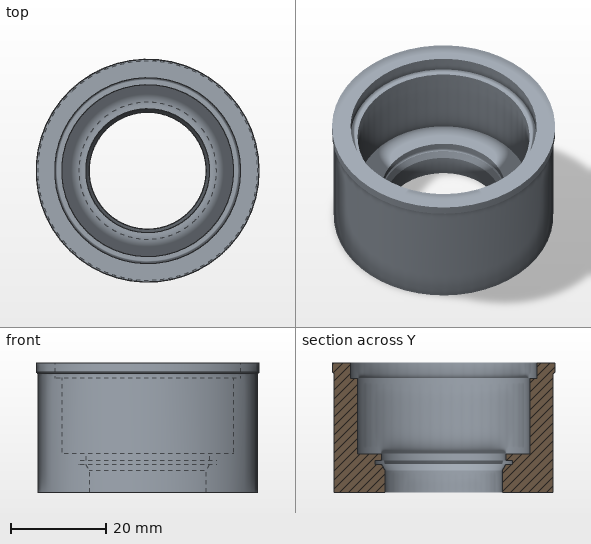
import cadquery as cq

flange_diameter = 46.7
body_diameter = 46.0
height = 27.2
rim_height = 1.9
flange_height = 2.3

recess_diameter = 38.95
recess_depth = 3.2
bore_diameter = 36.0
bore_depth = 19.0

hole_diameter = 24.45
lip_diameter = 25.95
lip_thickness = 1.5
groove_diameter = 28.75
groove_width = 0.75
cone_height = 1.3


def make_shell():
    """Revolve the body with its tapered flange about Z."""
    body_radius = body_diameter / 2
    flange_radius = flange_diameter / 2
    return (
        cq.Workplane("XZ")
        .lineTo(body_radius, 0)
        .lineTo(body_radius, height - flange_height)
        .lineTo(flange_radius, height - rim_height)
        .lineTo(flange_radius, height)
        .lineTo(0, height)
        .close()
        .revolve(360, (0, 0, 0), (0, 1, 0))
    )


def make_cavity():
    """Revolve the stepped bore and the grooved floor hole about Z."""
    recess_radius = recess_diameter / 2
    bore_radius = bore_diameter / 2
    hole_radius = hole_diameter / 2
    lip_radius = lip_diameter / 2
    groove_radius = groove_diameter / 2
    ledge_z = height - recess_depth
    floor_z = height - bore_depth
    groove_top_z = floor_z - lip_thickness
    groove_bottom_z = groove_top_z - groove_width
    return (
        cq.Workplane("XZ")
        .lineTo(hole_radius, 0)
        .lineTo(hole_radius, groove_bottom_z - cone_height)
        .lineTo(lip_radius, groove_bottom_z)
        .lineTo(groove_radius, groove_bottom_z)
        .lineTo(groove_radius, groove_top_z)
        .lineTo(lip_radius, groove_top_z)
        .lineTo(lip_radius, floor_z)
        .lineTo(bore_radius, floor_z)
        .lineTo(bore_radius, ledge_z)
        .lineTo(recess_radius, ledge_z)
        .lineTo(recess_radius, height)
        .lineTo(0, height)
        .close()
        .revolve(360, (0, 0, 0), (0, 1, 0))
    )


result = make_shell().cut(make_cavity())